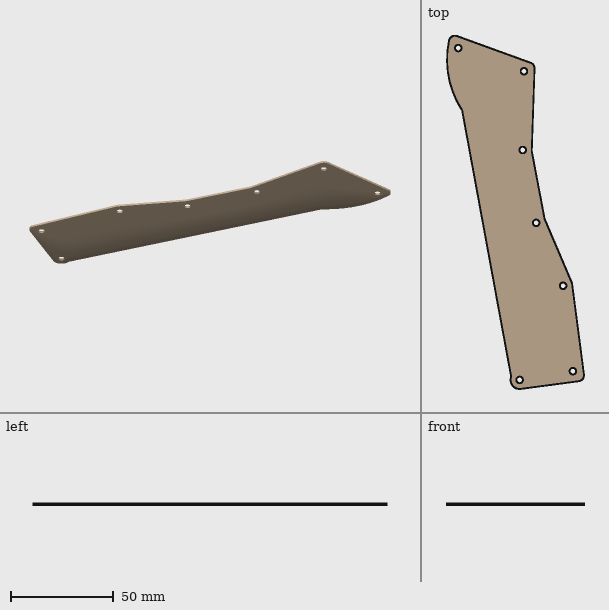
import cadquery as cq
import math

THICKNESS = 1.0

TOP_LEFT = (-31.6, 87.07)
TOP_RIGHT = (9.4, 72.2)
RIGHT_BENDS = [(7.97, 29.8), (14.23, -3.2), (27.57, -34.45)]
BOTTOM_RIGHT = (33.77, -81.9)
BOTTOM_LEFT = (-0.98, -86.5)
BULGE_START = (-26.05, 49.7)

BULGE_RADIUS = 45.0
CORNER_RADIUS = 3.0

HOLE_DIAMETER = 3.1
EAR_HOLE = (2.0, -81.6)
HOLES = [
    (-27.9, 80.05),
    (4.15, 68.75),
    (3.5, 30.4),
    (10.05, -5.1),
    (23.2, -35.75),
    (27.95, -77.35),
    EAR_HOLE,
]


def unit_vector(start, end):
    """Direction from start to end, with length 1."""
    length = math.dist(start, end)
    return ((end[0] - start[0]) / length, (end[1] - start[1]) / length)


def projection(point, start, end):
    """Foot of the perpendicular from point to the line through start and end."""
    ux, uy = unit_vector(start, end)
    along = (point[0] - start[0]) * ux + (point[1] - start[1]) * uy
    return (start[0] + along * ux, start[1] + along * uy)


def make_ear_arc():
    """Start, middle and end of the bottom-left arc, which is concentric with its hole.

    The arc is tangent to the bottom edge and meets the left edge at a slight angle.
    """
    start = projection(EAR_HOLE, BOTTOM_RIGHT, BOTTOM_LEFT)
    radius = math.dist(EAR_HOLE, start)
    left_foot = projection(EAR_HOLE, BOTTOM_LEFT, BULGE_START)
    half_chord = math.sqrt(radius**2 - math.dist(EAR_HOLE, left_foot) ** 2)
    ux, uy = unit_vector(BOTTOM_LEFT, BULGE_START)
    end = (left_foot[0] + half_chord * ux, left_foot[1] + half_chord * uy)
    mx, my = unit_vector(EAR_HOLE, BOTTOM_LEFT)
    middle = (EAR_HOLE[0] + radius * mx, EAR_HOLE[1] + radius * my)
    return start, middle, end


def make_blank():
    """Plate with its outer outline, without holes or rounded sharp corners."""
    ear_start, ear_middle, ear_end = make_ear_arc()
    return (
        cq.Workplane("XY")
        .moveTo(*TOP_LEFT)
        .polyline([TOP_RIGHT, *RIGHT_BENDS, BOTTOM_RIGHT, ear_start], includeCurrent=True)
        .threePointArc(ear_middle, ear_end)
        .lineTo(*BULGE_START)
        .radiusArc(TOP_LEFT, BULGE_RADIUS)
        .close()
        .extrude(THICKNESS)
    )


def round_corners(plate):
    """Fillet the upright edges at the three sharp corners."""
    for x, y in (TOP_LEFT, TOP_RIGHT, BOTTOM_RIGHT):
        corner_edge = cq.selectors.NearestToPointSelector((x, y, THICKNESS / 2))
        plate = plate.edges("|Z").edges(corner_edge).fillet(CORNER_RADIUS)
    return plate


def drill_holes(plate):
    """Cut every screw hole through the plate."""
    cutters = cq.Workplane("XY").pushPoints(HOLES).circle(HOLE_DIAMETER / 2).extrude(THICKNESS)
    return plate.cut(cutters)


result = drill_holes(round_corners(make_blank()))